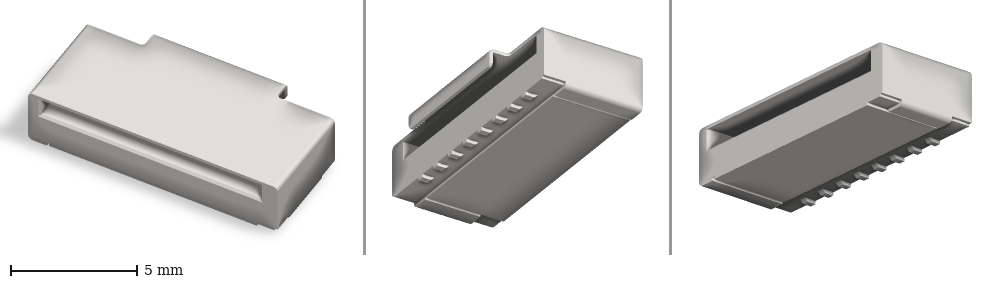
import cadquery as cq

WIDTH = 11.35
HEIGHT = 2.5
TOTAL_DEPTH = 5.5
BODY_DEPTH = 4.62

SHEET = 0.15
BEND_RADIUS = 0.2
FLANGE_REACH = 0.84
NOTCH_LENGTH = 1.02
NOTCH_TOP = 0.25

TAB_WIDTH = 6.05
TAB_DROP = 0.8
TAB_ROUND = 0.19

STEP_INSET = 0.94
STEP_BOTTOM = 0.03

SLOT_LEFT_INSET = 0.56
SLOT_RIGHT_INSET = 0.81
SLOT_FLOOR = 1.51
LEAD_IN = 0.1

FOOT_COUNT = 8
FOOT_PITCH = 1.1
FOOT_WIDTH = 0.3
FOOT_LENGTH = 0.41
FIRST_FOOT_X = -4.15

INNER_WIDTH = WIDTH - 2 * SHEET
INNER_TOP = HEIGHT - SHEET
FLANGE_END = BODY_DEPTH - NOTCH_LENGTH


def box(x_min, x_max, y_min, y_max, z_min, z_max):
    """Box between two opposite corners."""
    size = (x_max - x_min, y_max - y_min, z_max - z_min)
    return cq.Workplane("XY").box(*size, centered=False).translate((x_min, y_min, z_min))


def make_channel():
    """C-shaped sheet channel: top, two sides and two inward bottom flanges."""
    outer = box(-WIDTH / 2, WIDTH / 2, 0, BODY_DEPTH, 0, HEIGHT).edges("|Y").fillet(BEND_RADIUS)
    cavity = box(-INNER_WIDTH / 2, INNER_WIDTH / 2, 0, BODY_DEPTH, SHEET, INNER_TOP)
    opening_half = WIDTH / 2 - FLANGE_REACH
    opening = box(-opening_half, opening_half, 0, BODY_DEPTH, 0, SHEET)
    return outer.cut(cavity).cut(opening)


def cut_bottom_notches(channel):
    """Remove both flanges at the rear and the +X flange at the front."""
    rear = box(-WIDTH / 2, WIDTH / 2, FLANGE_END, BODY_DEPTH, 0, NOTCH_TOP)
    front_right = box(0, WIDTH / 2, 0, NOTCH_LENGTH, 0, NOTCH_TOP)
    return channel.cut(rear).cut(front_right)


def make_tab():
    """Rear tab: a strip leaving the top sheet and bent straight down."""
    half = TAB_WIDTH / 2
    blank = box(-half, half, BODY_DEPTH, TOTAL_DEPTH, HEIGHT - TAB_DROP, HEIGHT)
    blank = blank.edges("|X and >Y and >Z").fillet(BEND_RADIUS)
    relief = box(-half, half, BODY_DEPTH, TOTAL_DEPTH - SHEET, HEIGHT - TAB_DROP, INNER_TOP)
    relief = relief.edges("|X and >Y and >Z").fillet(BEND_RADIUS - SHEET)
    return blank.cut(relief).edges("|Y and <Z").fillet(TAB_ROUND)


def round_tab_roots(shell):
    """Concave corners where the tab meets the rear edge of the top sheet."""
    half = TAB_WIDTH / 2
    margin = SHEET / 2
    roots = cq.selectors.BoxSelector(
        (-half - margin, BODY_DEPTH - margin, INNER_TOP - margin),
        (half + margin, BODY_DEPTH + margin, HEIGHT + margin),
    )
    return shell.edges("|Z").edges(roots).fillet(TAB_ROUND)


def make_shell():
    channel = cut_bottom_notches(make_channel())
    return round_tab_roots(channel.union(make_tab()))


def make_slot():
    """Card slot, open at the top and at both ends, with a flared front mouth."""
    left = -WIDTH / 2 + SLOT_LEFT_INSET
    right = WIDTH / 2 - SLOT_RIGHT_INSET
    width = right - left
    height = INNER_TOP - SLOT_FLOOR
    slot = box(left, right, 0, BODY_DEPTH, SLOT_FLOOR, INNER_TOP)
    mouth = (
        cq.Workplane("XZ", origin=((left + right) / 2, 0, (SLOT_FLOOR + INNER_TOP) / 2))
        .rect(width + 2 * LEAD_IN, height + 2 * LEAD_IN)
        .workplane(offset=-LEAD_IN)
        .rect(width, height)
        .loft(ruled=True)
    )
    return slot.union(mouth)


def make_foot(x_center):
    """Solder foot with a 45 degree front slope."""
    rear_start = BODY_DEPTH - FOOT_LENGTH
    return (
        cq.Workplane("YZ", origin=(x_center - FOOT_WIDTH / 2, 0, 0))
        .polyline([(BODY_DEPTH, 0), (rear_start, 0), (rear_start - SHEET, SHEET), (BODY_DEPTH, SHEET)])
        .close()
        .extrude(FOOT_WIDTH)
    )


def make_housing():
    block_half = WIDTH / 2 - STEP_INSET
    housing = box(-INNER_WIDTH / 2, INNER_WIDTH / 2, 0, BODY_DEPTH, SHEET, INNER_TOP)
    housing = housing.union(box(-block_half, block_half, 0, FLANGE_END, STEP_BOTTOM, SHEET))
    for index in range(FOOT_COUNT):
        housing = housing.union(make_foot(FIRST_FOOT_X + index * FOOT_PITCH))
    return housing.cut(make_slot())


shell = make_shell()
housing = make_housing()
result = cq.Compound.makeCompound([shell.solids().val(), housing.solids().val()])